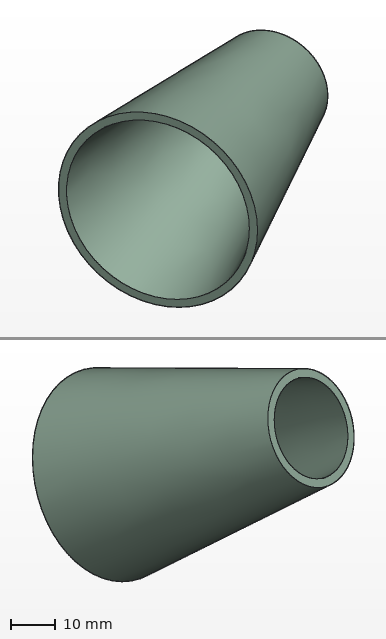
import cadquery as cq

length = 64.0
wide_diameter = 48.3
narrow_diameter = 26.9
wall = 2.0

wide_radius = wide_diameter / 2
narrow_radius = narrow_diameter / 2

wall_section = (
    cq.Workplane("XY")
    .moveTo(wide_radius - wall, 0)
    .lineTo(wide_radius, 0)
    .lineTo(narrow_radius, length)
    .lineTo(narrow_radius - wall, length)
    .close()
)

result = wall_section.revolve(360, (0, 0, 0), (0, 1, 0))